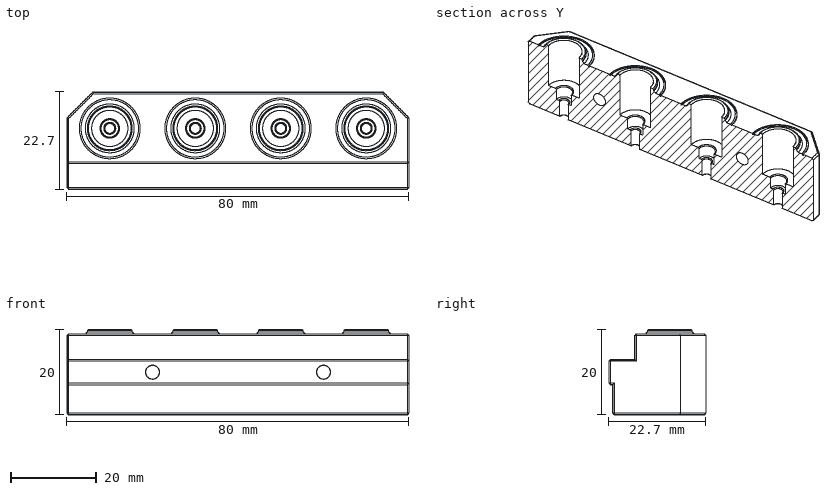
import cadquery as cq

length = 80.0
depth = 22.7
total_height = 20.0
collar_height = 1.0
block_top = total_height - collar_height

upper_step = 6.0
lower_step = 0.9
lip_top = 13.0
lip_bottom = 7.0

corner_cut = 6.0
edge_chamfer = 0.4

port_count = 4
port_pitch = length / port_count
port_from_back = 8.5
port_y = depth - port_from_back
bore_diameter = 8.5
bore_depth = 12.0
middle_diameter = 4.1
middle_depth = 3.2
outlet_diameter = 2.3
inner_chamfer = 0.2

collar_base_diameter = 11.4
collar_rim_diameter = 10.5
collar_lead_in = 0.2
collar_rim_height = 0.6
flange_diameter = 14.2
flange_chamfer = 0.4

mount_hole_diameter = 3.2
mount_hole_pitch = length / 2
mount_hole_z = (lip_top + lip_bottom) / 2


def make_block():
    """Stepped bar with two cut back corners and chamfered edges."""
    profile = [
        (lower_step, 0),
        (depth, 0),
        (depth, block_top),
        (upper_step, block_top),
        (upper_step, lip_top),
        (0, lip_top),
        (0, lip_bottom),
        (lower_step, lip_bottom),
    ]
    block = cq.Workplane("YZ").polyline(profile).close().extrude(length)
    block = block.edges("|Z and >Y").chamfer(corner_cut)

    margin = edge_chamfer
    cut_edges = cq.selectors.BoxSelector(
        (-margin, depth - corner_cut - margin, margin),
        (length + margin, depth + margin, block_top - margin),
    )
    upper_corner = cq.selectors.NearestToPointSelector((length / 2, upper_step, lip_top))
    lower_corner = cq.selectors.NearestToPointSelector((length / 2, lower_step, lip_bottom))
    sharp_edges = cut_edges + upper_corner + lower_corner
    return block.edges(cq.selectors.InverseSelector(sharp_edges)).chamfer(edge_chamfer)


def revolve_on_port_axis(outline):
    """Solid of revolution about Z from (radius, z) points."""
    return cq.Workplane("XZ").polyline(outline).close().revolve(360, (0, 0), (0, 1))


def make_collar():
    """Round boss, tapered up to a bevelled rim and rooted in the block; the port bore opens it."""
    rim_radius = collar_rim_diameter / 2
    base_radius = collar_base_diameter / 2
    return revolve_on_port_axis([
        (0, block_top - collar_height),
        (base_radius, block_top - collar_height),
        (base_radius, block_top),
        (rim_radius, total_height - collar_rim_height),
        (rim_radius, total_height - collar_lead_in),
        (rim_radius - collar_lead_in, total_height),
        (0, total_height),
    ])


def make_flange_groove():
    """V groove with an upright outer wall and a sloping inner wall."""
    radius = flange_diameter / 2
    return revolve_on_port_axis([
        (radius - flange_chamfer, block_top),
        (radius, block_top - flange_chamfer),
        (radius, block_top),
    ])


def make_port_cavity():
    """Three coaxial bores, the two lower ones bevelled at their mouths."""
    bore_floor = total_height - bore_depth
    middle_floor = bore_floor - middle_depth
    bore_radius = bore_diameter / 2
    middle_radius = middle_diameter / 2
    outlet_radius = outlet_diameter / 2
    return revolve_on_port_axis([
        (0, total_height),
        (bore_radius, total_height),
        (bore_radius, bore_floor),
        (middle_radius + inner_chamfer, bore_floor),
        (middle_radius, bore_floor - inner_chamfer),
        (middle_radius, middle_floor),
        (outlet_radius + inner_chamfer, middle_floor),
        (outlet_radius, middle_floor - inner_chamfer),
        (outlet_radius, 0),
        (0, 0),
    ])


def make_mount_hole():
    """Round cutter running the full depth along Y."""
    return cq.Workplane("XZ").circle(mount_hole_diameter / 2).extrude(-depth)


result = make_block()

for index in range(port_count):
    position = ((index + 0.5) * port_pitch, port_y, 0)
    result = result.union(make_collar().translate(position))
    result = result.cut(make_flange_groove().translate(position))
    result = result.cut(make_port_cavity().translate(position))

for side in (-1, 1):
    hole_x = length / 2 + side * mount_hole_pitch / 2
    result = result.cut(make_mount_hole().translate((hole_x, 0, mount_hole_z)))